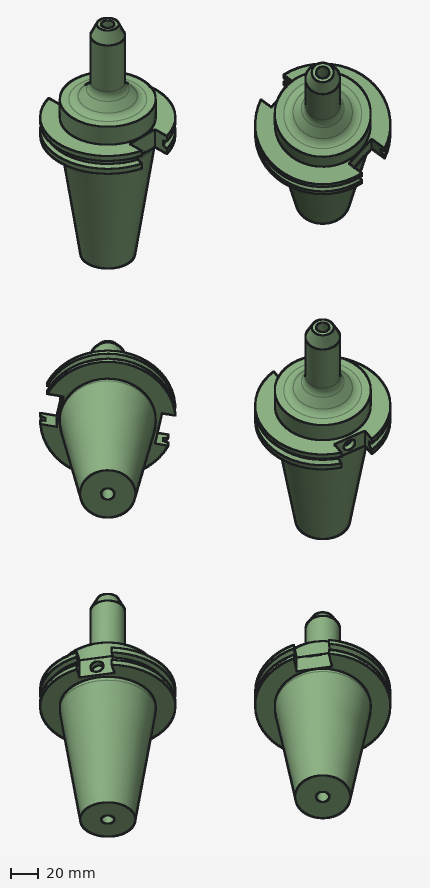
import cadquery as cq
import math

gauge_diameter = 69.85
taper_length = 101.6
taper_rate = 7 / 24
gauge_projection = 101.6

flange_diameter = 98.43
flange_bottom = 3.175
flange_thickness = 15.875
groove_floor_diameter = 91.0
groove_floor_width = 3.5
groove_mouth_width = 7.0

slot_width = 25.94
slot_floor_minus_x = 37.7
slot_floor_plus_x = 35.3
dimple_diameter = 9.525
dimple_depth = 5.0

neck_start_radius = 28.3
fillet_radius = 9.525
neck_angle = math.radians(45)
shank_diameter = 25.4
shank_length = 51.0
tip_diameter = 16.0
tip_length = 10.0
bore_diameter = 9.525

gauge_radius = gauge_diameter / 2
taper_end_radius = (gauge_diameter - taper_length * taper_rate) / 2
flange_radius = flange_diameter / 2
flange_top = flange_bottom + flange_thickness
flange_middle = flange_bottom + flange_thickness / 2
shank_radius = shank_diameter / 2
shank_bottom = gauge_projection - shank_length


def arc_point(center_r, center_z, angle):
    """Point on a neck fillet; the angle is measured from the +radius direction."""
    return (center_r + fillet_radius * math.cos(angle), center_z + fillet_radius * math.sin(angle))


def make_body():
    """Revolve the half outline of everything except the groove, slots and bore."""
    upper_center = (shank_radius + fillet_radius, shank_bottom)
    cone_top = arc_point(*upper_center, math.pi + neck_angle)
    upper_middle = arc_point(*upper_center, math.pi + neck_angle / 2)

    cone_bottom_radius = neck_start_radius - fillet_radius * math.cos(neck_angle)
    cone_bottom_z = cone_top[1] - (cone_bottom_radius - cone_top[0]) / math.tan(neck_angle)
    lower_center = (neck_start_radius, cone_bottom_z + fillet_radius * math.sin(neck_angle))
    cone_bottom = arc_point(*lower_center, math.pi + neck_angle)
    lower_end_angle = 3 * math.pi / 2
    lower_middle = arc_point(*lower_center, (math.pi + neck_angle + lower_end_angle) / 2)
    body_top = lower_center[1] - fillet_radius

    return (
        cq.Workplane("XZ")
        .moveTo(0, -taper_length)
        .lineTo(taper_end_radius, -taper_length)
        .lineTo(gauge_radius, 0)
        .lineTo(gauge_radius, flange_bottom)
        .lineTo(flange_radius, flange_bottom)
        .lineTo(flange_radius, flange_top)
        .lineTo(gauge_radius, flange_top)
        .lineTo(gauge_radius, body_top)
        .lineTo(neck_start_radius, body_top)
        .threePointArc(lower_middle, cone_bottom)
        .lineTo(*cone_top)
        .threePointArc(upper_middle, (shank_radius, shank_bottom))
        .lineTo(shank_radius, gauge_projection - tip_length)
        .lineTo(tip_diameter / 2, gauge_projection)
        .lineTo(0, gauge_projection)
        .close()
        .revolve(360, (0, 0, 0), (0, 1, 0))
    )


def make_groove():
    """Ring with a flat floor and sloping flanks, centred on the flange thickness."""
    floor_radius = groove_floor_diameter / 2
    half_floor = groove_floor_width / 2
    half_mouth = groove_mouth_width / 2
    return (
        cq.Workplane("XZ")
        .moveTo(floor_radius, flange_middle - half_floor)
        .lineTo(flange_radius, flange_middle - half_mouth)
        .lineTo(flange_radius, flange_middle + half_mouth)
        .lineTo(floor_radius, flange_middle + half_floor)
        .close()
        .revolve(360, (0, 0, 0), (0, 1, 0))
    )


def make_slot(side, floor_distance):
    """Drive slot through the full flange thickness; side is -1 or +1 along X."""
    depth = flange_radius - floor_distance
    middle_x = side * (floor_distance + depth / 2)
    return cq.Workplane("XY").box(depth, slot_width, flange_thickness).translate((middle_x, 0, flange_middle))


def make_dimple():
    """Blind round hole running inward from the -X slot floor."""
    return (
        cq.Workplane("YZ", origin=(-slot_floor_minus_x, 0, flange_middle))
        .circle(dimple_diameter / 2)
        .extrude(dimple_depth)
    )


def make_bore():
    """Hole along the axis through the whole part."""
    return (
        cq.Workplane("XY", origin=(0, 0, -taper_length))
        .circle(bore_diameter / 2)
        .extrude(taper_length + gauge_projection)
    )


result = (
    make_body()
    .cut(make_groove())
    .cut(make_slot(-1, slot_floor_minus_x))
    .cut(make_slot(1, slot_floor_plus_x))
    .cut(make_dimple())
    .cut(make_bore())
)